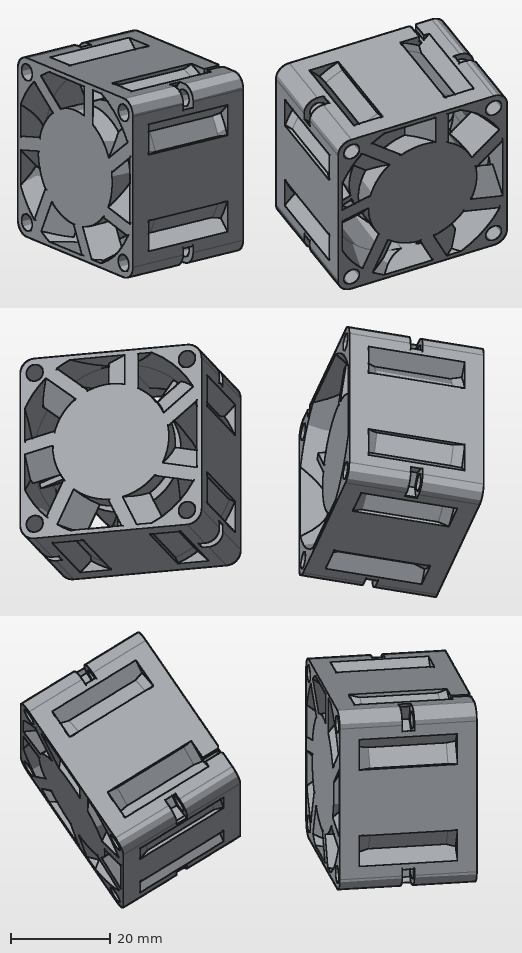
import cadquery as cq
import math

side = 38.15
depth = 28.1
corner_radius = 3.0
hole_spacing = 32.0
hole_diameter = 3.5

bore_radius = 18.15
crop_half_side = 18.1
flare_radius = 20.03
front_flare_depth = 6.25
back_flare_depth = 5.88

hub_radius = 12.2
vane_count = 7
vane_depth = 4.58
vane_width = 2.85
vane_tail = 1.8
vane_offset = 4.4
vane_sweep = 4.73
vane_first_angle = 90.0

rotor_back_gap = 3.0
blade_count = 5
blade_depth = 16.4
blade_width = 1.2
blade_offset = 0.5
blade_sweep = 6.25
blade_first_angle = -90.0

pocket_inner = 7.02
pocket_end_wall = 4.0
shell_wall = 1.45
boss_width = 7.85

nut_corner_radius = 3.05
nut_slot_width = 2.5

cable_slot_start = 11.3
cable_slot_width = 1.0
cable_flare = 0.35

front = -depth / 2
back = depth / 2
half_side = side / 2
rotor_front = back - rotor_back_gap - blade_depth


def prism(points, y_start, length):
    """Extrude a closed X-Z outline along +Y from y_start."""
    plane = cq.Plane(origin=(0, y_start, 0), xDir=(1, 0, 0), normal=(0, -1, 0))
    return cq.Workplane(plane).polyline(points).close().extrude(-length)


def cylinder(radius, y_start, length):
    plane = cq.Plane(origin=(0, y_start, 0), xDir=(1, 0, 0), normal=(0, -1, 0))
    return cq.Workplane(plane).circle(radius).extrude(-length)


def flared_body(extra_radius):
    """The duct's solid of revolution, grown outwards by extra_radius."""
    profile = [
        (0, front),
        (flare_radius + extra_radius, front),
        (bore_radius + extra_radius, front + front_flare_depth),
        (bore_radius + extra_radius, back - back_flare_depth),
        (flare_radius + extra_radius, back),
        (0, back),
    ]
    return cq.Workplane("XY").polyline(profile).close().revolve(360, (0, 0, 0), (0, 1, 0))


def duct():
    crop = cq.Workplane("XY").box(2 * crop_half_side, depth, 2 * crop_half_side)
    return flared_body(0).intersect(crop)


def housing():
    block = cq.Workplane("XY").box(side, depth, side).edges("|Y").fillet(corner_radius)
    return (
        block.faces("<Y")
        .workplane(centerOption="CenterOfBoundBox")
        .rect(hole_spacing, hole_spacing, forConstruction=True)
        .vertices()
        .hole(hole_diameter)
    )


def side_pockets():
    """Eight pockets around the duct's shell, two on each side of the block."""
    length = depth - 2 * pocket_end_wall
    boss_edge = boss_width / math.sqrt(2)
    outline = [
        (pocket_inner, half_side),
        (half_side - boss_edge, half_side),
        (pocket_inner, pocket_inner + boss_edge),
    ]
    wedge = prism(outline, front + pocket_end_wall, length).cut(flared_body(shell_wall))
    pair = wedge.union(wedge.mirror("YZ"))
    pockets = pair
    for turn in (90, 180, 270):
        pockets = pockets.union(pair.rotate((0, 0, 0), (0, 1, 0), turn))
    return pockets


def nut_traps():
    """Half-hexagon seats round the screw holes, open to the corner edges."""
    centre = hole_spacing / math.sqrt(2)
    flat = nut_corner_radius * math.sqrt(3) / 2
    outline = [
        (centre - flat, -nut_corner_radius / 2),
        (centre, -nut_corner_radius),
        (side, -nut_corner_radius),
        (side, nut_corner_radius),
        (centre, nut_corner_radius),
        (centre - flat, nut_corner_radius / 2),
    ]
    trap = prism(outline, -nut_slot_width / 2, nut_slot_width)
    traps = cq.Workplane("XY")
    for corner in range(4):
        traps = traps.add(trap.rotate((0, 0, 0), (0, 1, 0), 45 + 90 * corner))
    return traps.combine()


def cable_slot():
    """Groove from the back face into the top pocket, bottoming between shell and boss."""
    end = cable_slot_start + cable_slot_width
    middle = cable_slot_start + cable_slot_width / 2
    boss_rise = boss_width / math.sqrt(2)
    outline = [
        (cable_slot_start, half_side),
        (end, half_side),
        (end, end + boss_rise),
        (middle, middle + boss_rise),
        (cable_slot_start, middle + boss_rise + cable_slot_width / 2),
    ]
    groove = prism(outline, back - pocket_end_wall, pocket_end_wall)
    mouth = (
        cq.Workplane("XY", origin=(0, 0, half_side))
        .polyline(
            [
                (cable_slot_start - cable_flare, back),
                (end + cable_flare, back),
                (middle, back - cable_flare - cable_slot_width / 2),
            ]
        )
        .close()
        .extrude(-(half_side - middle - boss_rise))
    )
    return groove.union(mouth)


def swept_blade(offset, width, sweep, tail, y_start, length):
    """Blade along +X, shifting in +Z by `sweep` and ending `tail` thick at its back."""
    low = offset - width / 2
    high = offset + width / 2
    section = [
        (y_start, low),
        (y_start, high),
        (y_start + length, high + sweep),
        (y_start + length, high + sweep - tail),
    ]
    return cq.Workplane("YZ").polyline(section).close().extrude(side)


def blade_ring(blade, count, first_angle):
    ring = cq.Workplane("XY")
    for index in range(count):
        angle = first_angle + 360 / count * index
        ring = ring.add(blade.rotate((0, 0, 0), (0, 1, 0), -angle))
    return ring.combine()


def front_guide():
    blade = swept_blade(-vane_offset, vane_width, vane_sweep, vane_tail, front, vane_depth)
    vanes = blade_ring(blade, vane_count, vane_first_angle)
    return vanes.union(cylinder(hub_radius, front, vane_depth))


def rotor():
    blade = swept_blade(
        -blade_offset, blade_width, -blade_sweep, blade_width, rotor_front, blade_depth
    )
    blades = blade_ring(blade, blade_count, blade_first_angle)
    return blades.union(cylinder(hub_radius, rotor_front, blade_depth))


shell = housing().cut(side_pockets()).cut(nut_traps()).cut(cable_slot())
inner_parts = front_guide().union(rotor()).intersect(duct())
result = shell.cut(duct()).union(inner_parts)